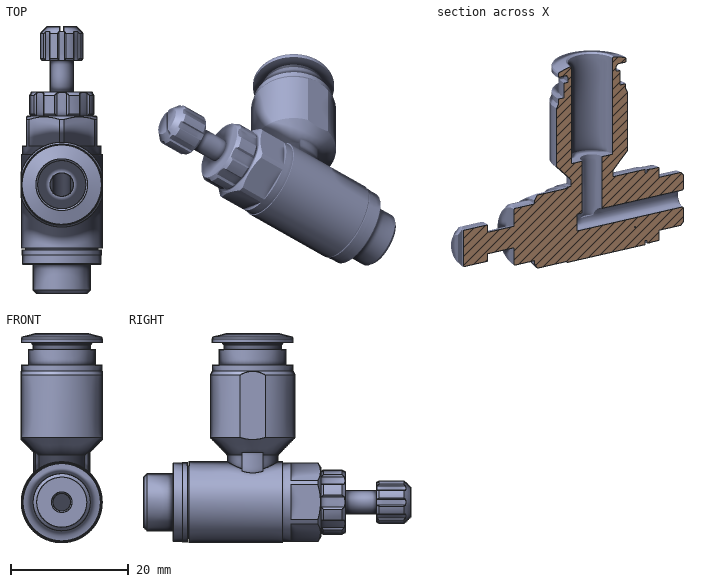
import cadquery as cq
import math


thread_end_y = -18.55
thread_dia = 9.73
thread_chamfer = 0.6
seal_front_y = -13.6
seal_front_dia = 13.15
seal_chamfer_length = 0.15
seal_dia = 13.4
rim_front_y = -11.95
rim_dia = 13.5
rim_back_y = -11.1
groove_dia = 12.4
body_front_y = -10.8
body_dia = 13.8
body_back_y = 5.1
shoulder_dia = 13.4

hex_front_y = 6.55
hex_back_y = 11.65
hex_sides = 6
hex_across_flats = 12.0
hex_corner_dia = 13.4
hex_end_dia = 11.6
hex_chamfer_length = 0.55

grip_groove_count = 8
dial_back_y = 15.8
dial_dia = 11.2
dial_front_end_dia = 10.6
dial_back_end_dia = 10.2
dial_front_chamfer_length = 0.4
dial_back_chamfer_length = 0.6
dial_groove_floor_dia = 10.4
dial_groove_floor_width = 1.7
dial_groove_mouth_width = 2.4
rod_dia = 4.0
knob_front_y = 21.1
knob_back_y = 26.9
knob_dia = 7.4
knob_front_end_dia = 6.8
knob_back_end_dia = 5.0
knob_front_chamfer_length = 0.4
knob_back_chamfer_length = 1.2
knob_groove_floor_dia = 6.7
knob_groove_floor_width = 1.0
knob_groove_mouth_width = 1.4
slot_width = 0.6
slot_depth = 0.8

neck_dia = 8.6
cone_bottom_z = 8.0
barrel_bottom_z = 11.0
barrel_dia = 14.45
barrel_top_z = 21.65
barrel_flat_width = body_dia
collar_bottom_z = 22.35
collar_dia = 13.7
collar_top_z = 23.3
guide_dia = 11.4
guide_top_z = 25.95
sleeve_dia = 9.8
flare_bottom_z = 26.75
flare_dia = 10.4
flange_bottom_z = 27.15
flange_dia = 13.8
flange_edge_z = 27.8
flange_crown_z = 28.1
flange_crown_dia = 13.5
port_top_z = 28.7

rib_outer_dia = 9.55
rib_width = 3.58

tube_bore_dia = 8.2
tube_bore_mouth_dia = 8.8
tube_bore_chamfer_depth = 0.2
tube_bore_floor_z = barrel_bottom_z
port_hole_dia = 4.0
inlet_dia = 3.0
inlet_mouth_dia = 3.5
inlet_chamfer_depth = 0.25
inlet_end_y = 3.0


def turned_on_y(stations):
    """Revolve (diameter, y) stations about the valve axis."""
    outline = [(0, stations[0][1])]
    outline += [(dia / 2, y) for dia, y in stations]
    outline += [(0, stations[-1][1])]
    return cq.Workplane("XY").polyline(outline).close().revolve(360, (0, 0, 0), (0, 1, 0))


def turned_on_z(stations):
    """Revolve (diameter, z) stations about the port axis."""
    outline = [(0, stations[0][1])]
    outline += [(dia / 2, z) for dia, z in stations]
    outline += [(0, stations[-1][1])]
    return cq.Workplane("XZ").polyline(outline).close().revolve(360, (0, 0, 0), (0, 1, 0))


def make_valve_body():
    return turned_on_y([
        (thread_dia - 2 * thread_chamfer, thread_end_y),
        (thread_dia, thread_end_y + thread_chamfer),
        (thread_dia, seal_front_y),
        (seal_front_dia, seal_front_y),
        (seal_dia, seal_front_y + seal_chamfer_length),
        (seal_dia, rim_front_y),
        (rim_dia, rim_front_y),
        (rim_dia, rim_back_y),
        (groove_dia, rim_back_y),
        (groove_dia, body_front_y),
        (body_dia, body_front_y),
        (body_dia, body_back_y),
        (shoulder_dia, body_back_y),
        (shoulder_dia, hex_front_y),
    ])


def make_hexagon():
    """Hexagon with its corners up and down, rounded off and chamfered at the back."""
    length = hex_back_y - hex_front_y
    prism = (
        cq.Workplane("XZ", origin=(0, hex_back_y, 0))
        .polygon(hex_sides, hex_across_flats / math.cos(math.pi / hex_sides))
        .extrude(length)
        .rotate((0, 0, 0), (0, 1, 0), 180 / hex_sides)
    )
    envelope = turned_on_y([
        (hex_corner_dia, hex_front_y),
        (hex_corner_dia, hex_back_y - hex_chamfer_length),
        (hex_end_dia, hex_back_y),
    ])
    return prism.intersect(envelope)


def cut_grip_grooves(grip, front_y, back_y, outer_dia, floor_dia, floor_width, mouth_width):
    """Cut evenly spaced trapezoid grooves along a round grip, with their mouths on its rim."""
    floor_z = floor_dia / 2
    mouth_z = math.sqrt(outer_dia ** 2 - mouth_width ** 2) / 2
    top_z = 2 * mouth_z - floor_z
    top_width = 2 * mouth_width - floor_width
    groove = (
        cq.Workplane("XZ", origin=(0, back_y, 0))
        .polyline([
            (-floor_width / 2, floor_z),
            (floor_width / 2, floor_z),
            (top_width / 2, top_z),
            (-top_width / 2, top_z),
        ])
        .close()
        .extrude(back_y - front_y)
    )
    for index in range(grip_groove_count):
        angle = index * 360 / grip_groove_count
        grip = grip.cut(groove.rotate((0, 0, 0), (0, 1, 0), angle))
    return grip


def make_dial():
    dial = turned_on_y([
        (dial_front_end_dia, hex_back_y),
        (dial_dia, hex_back_y + dial_front_chamfer_length),
        (dial_dia, dial_back_y - dial_back_chamfer_length),
        (dial_back_end_dia, dial_back_y),
    ])
    return cut_grip_grooves(
        dial, hex_back_y, dial_back_y, dial_dia,
        dial_groove_floor_dia, dial_groove_floor_width, dial_groove_mouth_width,
    )


def make_knob():
    knob = turned_on_y([
        (knob_front_end_dia, knob_front_y),
        (knob_dia, knob_front_y + knob_front_chamfer_length),
        (knob_dia, knob_back_y - knob_back_chamfer_length),
        (knob_back_end_dia, knob_back_y),
    ])
    knob = cut_grip_grooves(
        knob, knob_front_y, knob_back_y, knob_dia,
        knob_groove_floor_dia, knob_groove_floor_width, knob_groove_mouth_width,
    )
    screwdriver_slot = cq.Workplane("XY").box(slot_width, 2 * slot_depth, knob_dia)
    return knob.cut(screwdriver_slot.translate((0, knob_back_y, 0)))


def make_rod():
    return turned_on_y([(rod_dia, hex_front_y), (rod_dia, knob_back_y - knob_back_chamfer_length)])


def make_port():
    """Neck, flatted barrel and release sleeve of the tube port."""
    barrel = turned_on_z([
        (neck_dia, 0),
        (neck_dia, cone_bottom_z),
        (barrel_dia, barrel_bottom_z),
        (barrel_dia, barrel_top_z),
        (collar_dia, collar_bottom_z),
        (collar_dia, collar_top_z),
    ])
    flats = cq.Workplane("XY").rect(barrel_flat_width, 2 * barrel_dia).extrude(collar_top_z)
    sleeve = turned_on_z([
        (guide_dia, barrel_top_z),
        (guide_dia, guide_top_z),
        (sleeve_dia, guide_top_z),
        (sleeve_dia, flare_bottom_z),
        (flare_dia, flange_bottom_z),
        (flange_dia, flange_bottom_z),
        (flange_dia, flange_edge_z),
        (flange_crown_dia, flange_crown_z),
        (tube_bore_mouth_dia, port_top_z),
    ])
    return barrel.intersect(flats).union(sleeve)


def make_neck_ribs():
    """Pair of ribs on the +X and -X sides of the neck, running up into the cone."""
    column = cq.Workplane("XY").circle(rib_outer_dia / 2).extrude(barrel_bottom_z)
    band = cq.Workplane("XY").rect(2 * rib_outer_dia, rib_width).extrude(barrel_bottom_z)
    return column.intersect(band)


def make_passages():
    """Tube bore and port hole from above, joined to the inlet from the thread end."""
    tube_bore = turned_on_z([
        (port_hole_dia, 0),
        (port_hole_dia, tube_bore_floor_z),
        (tube_bore_dia, tube_bore_floor_z),
        (tube_bore_dia, port_top_z - tube_bore_chamfer_depth),
        (tube_bore_mouth_dia, port_top_z),
    ])
    inlet = turned_on_y([
        (inlet_mouth_dia, thread_end_y),
        (inlet_dia, thread_end_y + inlet_chamfer_depth),
        (inlet_dia, inlet_end_y),
    ])
    return tube_bore.union(inlet)


result = (
    make_valve_body()
    .union(make_hexagon())
    .union(make_rod())
    .union(make_dial())
    .union(make_knob())
    .union(make_port())
    .union(make_neck_ribs())
    .cut(make_passages())
)